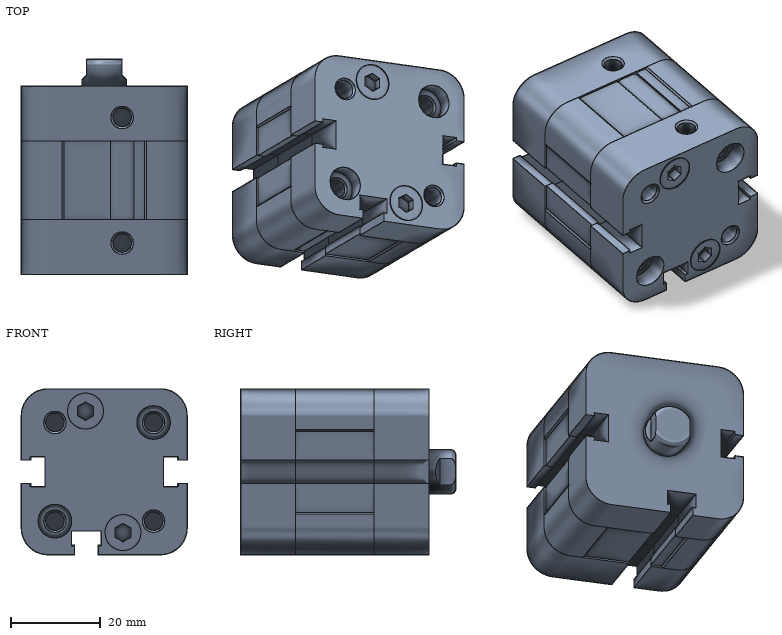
import cadquery as cq
import math

total_length = 48.0
section_size = 37.0
corner_radius = 6.0
cap_length = 12.3
rod_projection = 6.0

half_section = section_size / 2
front_y = -total_length / 2
rod_tip_y = total_length / 2
rear_y = rod_tip_y - rod_projection
barrel_start_y = front_y + cap_length
barrel_end_y = rear_y - cap_length
barrel_length = barrel_end_y - barrel_start_y

slot_depth = 5.3
slot_width = 6.6
mouth_width = 5.2
cap_lip = 1.95
barrel_lip = 2.15
centre_offset = 4.0

recess_depth = 0.4
recess_half_width = 9.4

groove_width = 5.2
crown_width = 1.95
groove_edge_depth = 0.35

thread_diameter = 4.15
mouth_diameter = 5.0
mouth_chamfer = (mouth_diameter - thread_diameter) / 2
mount_offset = 11.0
mount_depth = 9.6
counterbore_diameter = 7.5
counterbore_depth = 4.15
port_depth = 4.8
port_inset = 7.0

head_diameter = 8.0
head_setback = 0.2
head_x = 4.2
head_z = 13.55
hex_across_flats = 3.55
hex_depth = 2.4

rod_diameter = 10.0
rod_across_flats = 8.0
flat_length = 3.6
rod_tip_fillet = 1.3


def prism_along_y(start_y, length, draw):
    """Extrude an outline from start_y toward +Y; draw sketches it on an XZ workplane."""
    plane = cq.Workplane("XZ", origin=(0, start_y, 0))
    return draw(plane).extrude(-length)


def rounded_block(start_y, length):
    block = prism_along_y(start_y, length, lambda plane: plane.rect(section_size, section_size))
    return block.edges("|Y").fillet(corner_radius)


def t_slot(start_y, length, lip, side_angle, offset=0.0):
    """T-slot cutter for the -Z side, turned about Y by side_angle."""
    wide_height = slot_depth - lip
    mouth_z = -half_section + slot_depth / 2
    wide_z = -half_section + lip + wide_height / 2
    mouth = prism_along_y(
        start_y, length, lambda plane: plane.center(offset, mouth_z).rect(mouth_width, slot_depth)
    )
    wide = prism_along_y(
        start_y, length, lambda plane: plane.center(offset, wide_z).rect(slot_width, wide_height)
    )
    return mouth.union(wide).rotate((0, 0, 0), (0, 1, 0), side_angle)


def cut_t_slots(body, start_y, length, lip):
    body = body.cut(t_slot(start_y, length, lip, 0, -centre_offset))
    for side_angle in (90, -90):
        body = body.cut(t_slot(start_y, length, lip, side_angle))
    return body


def threaded_hole(centre, direction, depth):
    """Cutter for a blind hole with a chamfered mouth at centre."""
    axis = cq.Vector(*direction)
    straight = cq.Solid.makeCylinder(thread_diameter / 2, depth, centre, axis)
    mouth = cq.Solid.makeCone(mouth_diameter / 2, thread_diameter / 2, mouth_chamfer, centre, axis)
    return straight.fuse(mouth)


def end_cap(start_y, port_y):
    """Slotted end block with an air port in its top."""
    cap = cut_t_slots(rounded_block(start_y, cap_length), start_y, cap_length, cap_lip)
    port = threaded_hole(cq.Vector(centre_offset, port_y, half_section), (0, 0, -1), port_depth)
    return cap.cut(cq.Workplane(port))


def cut_mounting_holes(cap):
    """Four holes in the front face, two of them at the bottom of a counterbore."""
    inward = cq.Vector(0, 1, 0)
    for x_side in (-1, 1):
        for z_side in (-1, 1):
            x = x_side * mount_offset
            z = z_side * mount_offset
            hole_y = front_y
            if x_side == z_side:
                bore = cq.Solid.makeCylinder(
                    counterbore_diameter / 2, counterbore_depth, cq.Vector(x, front_y, z), inward
                )
                cap = cap.cut(cq.Workplane(bore))
                hole_y += counterbore_depth
            hole = threaded_hole(cq.Vector(x, hole_y, z), (0, 1, 0), front_y + mount_depth - hole_y)
            cap = cap.cut(cq.Workplane(hole))
    return cap


def cut_screw_heads(cap):
    """Sunk round head with a hexagon socket at two opposite places."""
    hex_diameter = hex_across_flats / math.cos(math.pi / 6)
    for side in (-1, 1):
        x = side * head_x
        z = -side * head_z
        head = prism_along_y(front_y, head_setback, lambda plane: plane.center(x, z).circle(head_diameter / 2))
        socket = prism_along_y(
            front_y,
            head_setback + hex_depth,
            lambda plane: plane.center(x, z).transformed(rotate=(0, 0, 90)).polygon(6, hex_diameter),
        )
        cap = cap.cut(head).cut(socket)
    return cap


def make_front_cap():
    return cut_screw_heads(cut_mounting_holes(end_cap(front_y, front_y + port_inset)))


def make_rear_cap():
    """End cap with a bore that guides the rod."""
    cap = end_cap(barrel_end_y, rear_y - port_inset)
    return cap.cut(prism_along_y(barrel_end_y, cap_length, lambda plane: plane.circle(rod_diameter / 2)))


def side_recess(side_angle):
    """Bevelled recess cutter for the top side, turned about Y by side_angle."""
    floor_half_width = recess_half_width - recess_depth
    floor_z = half_section - recess_depth
    outline = [
        (-recess_half_width, half_section),
        (-floor_half_width, floor_z),
        (floor_half_width, floor_z),
        (recess_half_width, half_section),
    ]
    cutter = prism_along_y(barrel_start_y, barrel_length, lambda plane: plane.polyline(outline).close())
    return cutter.rotate((0, 0, 0), (0, 1, 0), side_angle)


def sensor_groove():
    """Groove cutter whose floor curves down from a flat crown to a short wall on each side."""
    crown_z = half_section - recess_depth
    edge_z = crown_z - groove_edge_depth
    half_groove = groove_width / 2
    half_crown = crown_width / 2
    arc_width = half_groove - half_crown
    arc_radius = (arc_width**2 + groove_edge_depth**2) / (2 * groove_edge_depth)

    def draw(plane):
        return (
            plane.center(centre_offset, 0)
            .moveTo(-half_groove, half_section)
            .lineTo(half_groove, half_section)
            .lineTo(half_groove, edge_z)
            .radiusArc((half_crown, crown_z), -arc_radius)
            .lineTo(-half_crown, crown_z)
            .radiusArc((-half_groove, edge_z), -arc_radius)
            .close()
        )

    return prism_along_y(barrel_start_y, barrel_length, draw)


def make_barrel():
    barrel = rounded_block(barrel_start_y, barrel_length)
    barrel = cut_t_slots(barrel, barrel_start_y, barrel_length, barrel_lip)
    for side_angle in (0, 90, 180, 270):
        barrel = barrel.cut(side_recess(side_angle))
    return barrel.cut(sensor_groove())


def make_rod():
    """Rod through the rear cap, with a rounded tip and two wrench flats running out at 45 degrees."""
    rod = prism_along_y(
        barrel_end_y, rod_tip_y - barrel_end_y, lambda plane: plane.circle(rod_diameter / 2)
    )
    rod = rod.faces(">Y").edges().fillet(rod_tip_fillet)
    flat_x = rod_across_flats / 2
    flat_end_y = rod_tip_y - flat_length
    runout = rod_diameter / 2
    for side in (-1, 1):
        outline = [
            (side * flat_x, rod_tip_y),
            (side * flat_x, flat_end_y),
            (side * (flat_x + runout), flat_end_y - runout),
            (side * (flat_x + runout), rod_tip_y),
        ]
        flat = cq.Workplane("XY").polyline(outline).close().extrude(rod_diameter, both=True)
        rod = rod.cut(flat)
    return rod


front_cap = make_front_cap()
barrel = make_barrel()
rear_cap = make_rear_cap()
piston_rod = make_rod()

result = cq.Compound.makeCompound([front_cap.val(), barrel.val(), rear_cap.val(), piston_rod.val()])